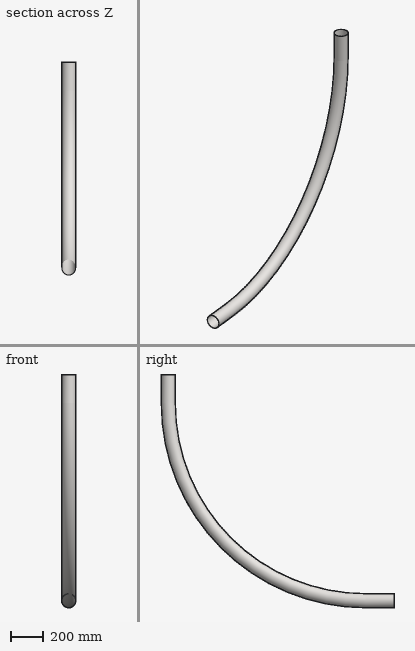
import cadquery as cq
import math

outer_diameter = 88.9
inner_diameter = 84.68
bend_radius = 1219.2
tangent_length = 177.8

midpoint_offset = bend_radius * math.sin(math.radians(45))

upright_end = (-bend_radius, tangent_length)
bend_start = (-bend_radius, 0)
bend_middle = (-midpoint_offset, -midpoint_offset)
bend_finish = (0, -bend_radius)
level_end = (tangent_length, -bend_radius)

centreline = (
    cq.Workplane("YZ")
    .moveTo(*upright_end)
    .lineTo(*bend_start)
    .threePointArc(bend_middle, bend_finish)
    .lineTo(*level_end)
)

result = (
    cq.Workplane("XY", origin=(0, *upright_end))
    .circle(outer_diameter / 2)
    .circle(inner_diameter / 2)
    .sweep(centreline)
)